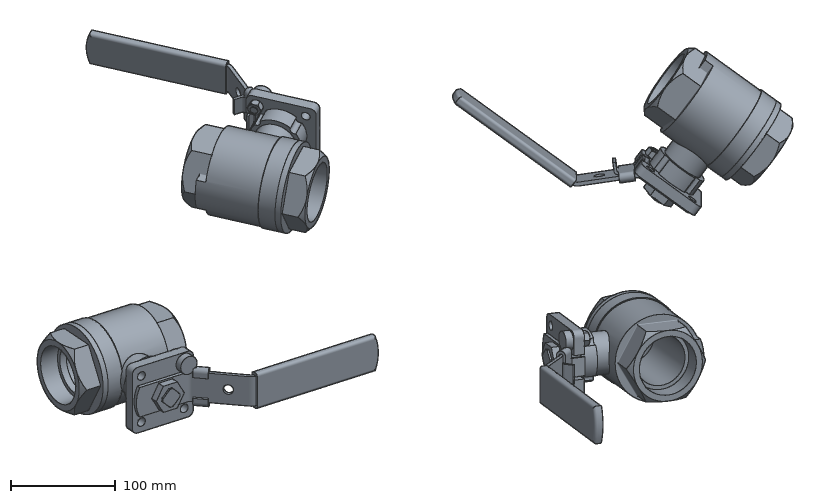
import cadquery as cq
import math


END_X = 62.4
HEX_FLATS = 70.7
HEX_FACE_RADIUS = 35.4
HEX_CHAMFER_DEPTH = 5.0
BORE_RADIUS = 25.3
SOCKET_RADIUS = 29.2
SOCKET_DEPTH = 19.5

BARREL_RADIUS = 43.7
COLLAR_RADIUS = 44.8
BARREL_X = -36.2
COLLAR_X = 18.0
CAP_X = 35.4
CAP_COLLAR_END_X = 41.2
LUG_X = -45.7
LUG_HALF_WIDTH = 17.3
ROOT_FILLET = 0.8

NECK_RADIUS = 21.0
FLANGE_RADIUS = 26.0
FLANGE_Y = 57.5
PAD_Y = 75.0
PAD_TOP_Y = 85.5
PAD_SIDE = 70.7
PAD_CORNER_RADIUS = 6.5
BOLT_OFFSET = 24.8
PAD_HOLE_RADIUS = 4.5
NOTCH_OFFSET = 19.2
NOTCH_RADIUS = 4.2
SLOT_HALF_WIDTH = 12.2
SLOT_DEPTH = 9.2
SLOT_FILLET = 1.0

STEM_RADIUS = 9.7
STEM_FLATS = 16.1
STEM_SQUARE_TURN = 45
STEM_BOTTOM_Y = 33.5
STEM_TOP_Y = 100.0
NUT_FLATS = 28.0
NUT_HEIGHT = 7.8

LEVER_THICKNESS = 4.0
LEVER_HALF_WIDTH = 16.0
LEVER_SLOPE = 45
LEVER_GAP = 0.8
LEVER_END_RADIUS = 34.0
LEVER_BEND_RADIUS = 5.3
BASE_BEND_X = -28.7
HANDLE_START_X = -77.0
LEVER_HOLE_RADIUS = 5.0
LEVER_HOLE_ALONG = 38.1

GRIP_WALL = 3.0
GRIP_THICKNESS = 9.2
GRIP_TOP_Y = 136.5
OVERALL_LENGTH = 278.5
GRIP_TIP_X = END_X - OVERALL_LENGTH
GRIP_BULGE = 4.0
GRIP_MOUTH_X = -74.3

SLIDE_WALL = 2.8
SLIDE_HALF_WIDTH = 20.5
SLIDE_START = 4.2
SLIDE_END = 19.2
SLIDE_OPENING_HALF_WIDTH = 11.0
TAB_HALF_WIDTH = 9.5
TONGUE_X = -34.5
TONGUE_THICKNESS = 2.2
TONGUE_OVERHANG = 0.8
THUMB_INNER_RADIUS = 1.5
THUMB_REACH = 14.5

STOP_HEAD_RADIUS = 9.5
STOP_HEAD_HEIGHT = 7.8
STOP_SHANK_RADIUS = 4.0
STOP_NUT_FLATS = 12.8
STOP_NUT_HEIGHT = 7.5
STOP_NUT_CHAMFER = 1.0
STOP_TIP = 1.0
STOP_CLEARANCE = 0.3

handle_y = GRIP_TOP_Y - GRIP_THICKNESS / 2
lever_bottom_y = PAD_TOP_Y + LEVER_GAP
base_y = lever_bottom_y + LEVER_THICKNESS / 2
lever_top_y = lever_bottom_y + LEVER_THICKNESS
handle_bend_x = BASE_BEND_X - (handle_y - base_y)
slide_outer = LEVER_THICKNESS / 2 + SLIDE_WALL
slide_inner = LEVER_THICKNESS / 2


def along_x(x):
    """Workplane facing +X at the given x; its local axes are Y and Z."""
    return cq.Workplane("YZ", origin=(x, 0, 0))


def along_y(y):
    """Workplane facing +Y at the given y; its local axes are Z and X."""
    return cq.Workplane(cq.Plane(origin=(0, y, 0), xDir=(0, 0, 1), normal=(0, 1, 0)))


def slope_point(along, above):
    """Point in XY at a distance up the lever slope and a distance above its mid-plane."""
    diagonal = math.sqrt(0.5)
    return (BASE_BEND_X + (above - along) * diagonal, base_y + (above + along) * diagonal)


def corner_radius(flats):
    """Distance from the centre to the corners of a hexagon."""
    return flats / math.sqrt(3)


def upright_hexagon(y, flats, height):
    """Hexagonal prism rising along +Y from y, with two corners on the X axis."""
    corner = corner_radius(flats)
    corners = [
        (corner * math.sin(turn * math.pi / 3), corner * math.cos(turn * math.pi / 3))
        for turn in range(6)
    ]
    return along_y(y).polyline(corners).close().extrude(height)


def pipe_hexagon(inner_x, direction):
    """Hexagonal pipe end from inner_x to the end face, chamfered at that face."""
    length = END_X - abs(inner_x)
    corner = corner_radius(HEX_FLATS)
    hexagon = along_x(inner_x).polygon(6, 2 * corner).extrude(direction * length)
    face_x = direction * END_X
    chamfer_x = face_x - direction * HEX_CHAMFER_DEPTH
    envelope = (
        cq.Workplane("XY")
        .moveTo(inner_x, 0)
        .lineTo(inner_x, corner)
        .lineTo(chamfer_x, corner)
        .lineTo(face_x, HEX_FACE_RADIUS)
        .lineTo(face_x, 0)
        .close()
        .revolve(360, (0, 0, 0), (1, 0, 0))
    )
    return hexagon.intersect(envelope)


def bore_cut(direction):
    """Bore to one pipe end with the wider socket at its mouth."""
    bore = along_x(0).circle(BORE_RADIUS).extrude(direction * END_X)
    socket = along_x(direction * END_X).circle(SOCKET_RADIUS).extrude(-direction * SOCKET_DEPTH)
    return bore.union(socket)


def make_pad():
    """Square mounting pad with corner holes and a slot for the lock tongue."""
    hole_places = [(z, x) for z in (-BOLT_OFFSET, BOLT_OFFSET) for x in (-BOLT_OFFSET, BOLT_OFFSET)]
    thickness = PAD_TOP_Y - PAD_Y
    pad = along_y(PAD_Y).rect(PAD_SIDE, PAD_SIDE).extrude(thickness).edges("|Y").fillet(PAD_CORNER_RADIUS)
    holes = along_y(PAD_Y).pushPoints(hole_places).circle(PAD_HOLE_RADIUS).extrude(thickness)
    slot = (
        along_y(PAD_Y)
        .center(0, -PAD_SIDE / 2)
        .rect(2 * SLOT_HALF_WIDTH, 2 * SLOT_DEPTH)
        .extrude(thickness)
        .edges("|Y and >X")
        .fillet(SLOT_FILLET)
    )
    return pad.cut(holes).cut(slot)


def make_neck():
    """Round neck with a notched flange under the pad."""
    notch_places = [(z, x) for z in (-NOTCH_OFFSET, NOTCH_OFFSET) for x in (-NOTCH_OFFSET, NOTCH_OFFSET)]
    flange = along_y(FLANGE_Y).circle(FLANGE_RADIUS).extrude(PAD_Y - FLANGE_Y)
    notches = along_y(FLANGE_Y).pushPoints(notch_places).circle(NOTCH_RADIUS).extrude(PAD_Y - FLANGE_Y)
    return along_y(0).circle(NECK_RADIUS).extrude(FLANGE_Y).union(flange.cut(notches))


def make_body():
    """One-piece valve body: hexagonal end, barrel, collar, neck and mounting pad."""
    root_reach = HEX_FLATS / 2 + ROOT_FILLET
    root_edges = cq.selectors.BoxSelector(
        (LUG_X + ROOT_FILLET, -root_reach, -root_reach),
        (BARREL_X + ROOT_FILLET, root_reach, root_reach),
    )
    barrel = along_x(BARREL_X).circle(BARREL_RADIUS).extrude(COLLAR_X - BARREL_X)
    lug_depth = BARREL_X - LUG_X
    lug_band = (
        along_x(LUG_X)
        .center(-BARREL_RADIUS, 0)
        .rect(2 * BARREL_RADIUS, 2 * LUG_HALF_WIDTH)
        .extrude(lug_depth)
    )
    lug = along_x(LUG_X).circle(BARREL_RADIUS).extrude(lug_depth).intersect(lug_band)
    collar = along_x(COLLAR_X).circle(COLLAR_RADIUS).extrude(CAP_X - COLLAR_X)
    outside = barrel.union(lug).union(pipe_hexagon(BARREL_X, -1))
    outside = outside.edges("%LINE").edges(root_edges).fillet(ROOT_FILLET)
    outside = outside.union(collar).union(make_neck()).union(make_pad())
    bore = bore_cut(-1).union(along_x(0).circle(BORE_RADIUS).extrude(CAP_X))
    return outside.cut(bore).cut(make_stem())


def make_end_cap():
    collar = along_x(CAP_X).circle(COLLAR_RADIUS).extrude(CAP_COLLAR_END_X - CAP_X)
    return collar.union(pipe_hexagon(CAP_COLLAR_END_X, 1)).cut(bore_cut(1))


def make_stem():
    """Round stem, squared at 45 degrees to X where it carries the lever and nut."""
    round_part = along_y(STEM_BOTTOM_Y).circle(STEM_RADIUS).extrude(STEM_TOP_Y - STEM_BOTTOM_Y)
    square_length = STEM_TOP_Y - PAD_TOP_Y
    blank = along_y(PAD_TOP_Y).circle(2 * STEM_RADIUS).extrude(square_length)
    square = along_y(PAD_TOP_Y).rect(STEM_FLATS, STEM_FLATS).extrude(square_length)
    square = square.rotate((0, 0, 0), (0, 1, 0), STEM_SQUARE_TURN)
    return round_part.cut(blank.cut(square))


def make_stem_nut():
    return upright_hexagon(lever_top_y, NUT_FLATS, NUT_HEIGHT).cut(make_stem())


def grip_outline(wall, mouth_x):
    """Handle outline with a bulging tip and an open end at mouth_x, set in by the wall elsewhere."""
    half_width = LEVER_HALF_WIDTH + GRIP_WALL - wall
    tip_x = GRIP_TIP_X + wall
    corner_x = tip_x + GRIP_BULGE
    return (
        along_y(handle_y)
        .moveTo(-half_width, mouth_x)
        .lineTo(-half_width, corner_x)
        .threePointArc((0, tip_x), (half_width, corner_x))
        .lineTo(half_width, mouth_x)
        .close()
    )


def stop_relief():
    """Clearance space round the head of the stop bolt."""
    return (
        along_y(PAD_TOP_Y)
        .center(BOLT_OFFSET, -BOLT_OFFSET)
        .circle(STOP_HEAD_RADIUS + STOP_CLEARANCE)
        .extrude(STOP_HEAD_HEIGHT + STOP_CLEARANCE)
    )


def make_lever():
    half = LEVER_THICKNESS / 2
    mitre = half * math.tan(math.radians(LEVER_SLOPE / 2))
    strip = (
        cq.Workplane("XY")
        .moveTo(0, base_y - half)
        .lineTo(0, base_y + half)
        .lineTo(BASE_BEND_X + mitre, base_y + half)
        .lineTo(handle_bend_x + mitre, handle_y + half)
        .lineTo(HANDLE_START_X, handle_y + half)
        .lineTo(HANDLE_START_X, handle_y - half)
        .lineTo(handle_bend_x - mitre, handle_y - half)
        .lineTo(BASE_BEND_X - mitre, base_y - half)
        .close()
        .extrude(LEVER_HALF_WIDTH, both=True)
    )
    inner_edges = [(handle_bend_x - mitre, handle_y - half), (BASE_BEND_X + mitre, base_y + half)]
    outer_edges = [(handle_bend_x + mitre, handle_y + half), (BASE_BEND_X - mitre, base_y - half)]
    for radius, places in (
        (LEVER_BEND_RADIUS, inner_edges),
        (LEVER_BEND_RADIUS + LEVER_THICKNESS, outer_edges),
    ):
        for x, y in places:
            strip = strip.edges(cq.NearestToPointSelector((x, y, 0))).fillet(radius)
    handle = grip_outline(GRIP_WALL, HANDLE_START_X).extrude(half, both=True)
    base_end = (
        along_y(lever_bottom_y)
        .center(0, LEVER_END_RADIUS / 2)
        .rect(2 * LEVER_HALF_WIDTH, LEVER_END_RADIUS)
        .extrude(LEVER_THICKNESS)
        .intersect(along_y(lever_bottom_y).circle(LEVER_END_RADIUS).extrude(LEVER_THICKNESS))
    )
    hole_x, hole_y = slope_point(LEVER_HOLE_ALONG, 0)
    hole = (
        cq.Workplane(cq.Plane(origin=(hole_x, hole_y, 0), xDir=(0, 0, 1), normal=(1, 1, 0)))
        .circle(LEVER_HOLE_RADIUS)
        .extrude(LEVER_THICKNESS, both=True)
    )
    return strip.union(base_end).union(handle).cut(hole).cut(make_stem()).cut(stop_relief())


def make_grip(lever):
    grip = grip_outline(0, GRIP_MOUTH_X).extrude(GRIP_THICKNESS / 2, both=True)
    grip = grip.faces(">Y or <Y").edges("not >X").fillet(GRIP_WALL)
    return grip.cut(lever)


def make_lock_slide():
    x, y = slope_point(SLIDE_START, 0)
    across = cq.Workplane(cq.Plane(origin=(x, y, 0), xDir=(0, 0, 1), normal=(-1, 1, 0)))
    length = SLIDE_END - SLIDE_START
    inner_width = 2 * (SLIDE_HALF_WIDTH - SLIDE_WALL)
    clip = across.slot2D(2 * SLIDE_HALF_WIDTH, 2 * slide_outer).extrude(length)
    clip = clip.cut(across.slot2D(inner_width, 2 * slide_inner).extrude(length))
    opening_width = 2 * SLIDE_OPENING_HALF_WIDTH
    opening = across.center(0, slide_outer).rect(opening_width, 2 * slide_outer).extrude(length)
    clip = clip.cut(opening)

    inner_x = TONGUE_X + TONGUE_THICKNESS
    tip_y = PAD_Y - TONGUE_OVERHANG
    slope_sum = BASE_BEND_X + base_y
    outer_bend_y = slope_sum - slide_outer * math.sqrt(2) - TONGUE_X
    inner_bend_y = slope_sum - slide_inner * math.sqrt(2) - inner_x
    tongue = (
        cq.Workplane("XY")
        .polyline([
            slope_point(SLIDE_START, -slide_outer),
            (TONGUE_X, outer_bend_y),
            (TONGUE_X, tip_y),
            (inner_x, tip_y),
            (inner_x, inner_bend_y),
            slope_point(SLIDE_START, -slide_inner),
        ])
        .close()
        .extrude(TAB_HALF_WIDTH, both=True)
    )

    bend_above = -slide_outer - THUMB_INNER_RADIUS
    outer_radius = THUMB_INNER_RADIUS + SLIDE_WALL
    inner_mid = THUMB_INNER_RADIUS * math.sqrt(0.5)
    outer_mid = outer_radius * math.sqrt(0.5)
    thumb = (
        cq.Workplane("XY")
        .moveTo(*slope_point(SLIDE_END, -slide_inner))
        .threePointArc(
            slope_point(SLIDE_END + outer_mid, bend_above + outer_mid),
            slope_point(SLIDE_END + outer_radius, bend_above),
        )
        .lineTo(*slope_point(SLIDE_END + outer_radius, -THUMB_REACH))
        .lineTo(*slope_point(SLIDE_END + THUMB_INNER_RADIUS, -THUMB_REACH))
        .lineTo(*slope_point(SLIDE_END + THUMB_INNER_RADIUS, bend_above))
        .threePointArc(
            slope_point(SLIDE_END + inner_mid, bend_above + inner_mid),
            slope_point(SLIDE_END, -slide_outer),
        )
        .close()
        .extrude(TAB_HALF_WIDTH, both=True)
    )
    return clip.union(tongue).union(thumb).cut(stop_relief())


def make_stop_bolt():
    """Stop bolt with a round head on the pad and a chamfered hexagon below it."""
    corner = corner_radius(STOP_NUT_FLATS)
    nut_y = PAD_Y - STOP_NUT_HEIGHT
    tip_y = nut_y - STOP_TIP
    hexagon = upright_hexagon(nut_y, STOP_NUT_FLATS, STOP_NUT_HEIGHT)
    envelope = along_y(nut_y).circle(corner).extrude(STOP_NUT_HEIGHT).edges().chamfer(STOP_NUT_CHAMFER)
    head = along_y(PAD_TOP_Y).circle(STOP_HEAD_RADIUS).extrude(STOP_HEAD_HEIGHT)
    shank = along_y(tip_y).circle(STOP_SHANK_RADIUS).extrude(PAD_TOP_Y - tip_y)
    bolt = hexagon.intersect(envelope).union(shank).union(head)
    return bolt.translate((-BOLT_OFFSET, 0, BOLT_OFFSET))


body = make_body()
end_cap = make_end_cap()
stem = make_stem()
stem_nut = make_stem_nut()
lever = make_lever()
grip = make_grip(lever)
lock_slide = make_lock_slide()
stop_bolt = make_stop_bolt()

bodies = [body, end_cap, stem, stem_nut, lever, grip, lock_slide, stop_bolt]
result = cq.Compound.makeCompound([part.solids().val() for part in bodies])